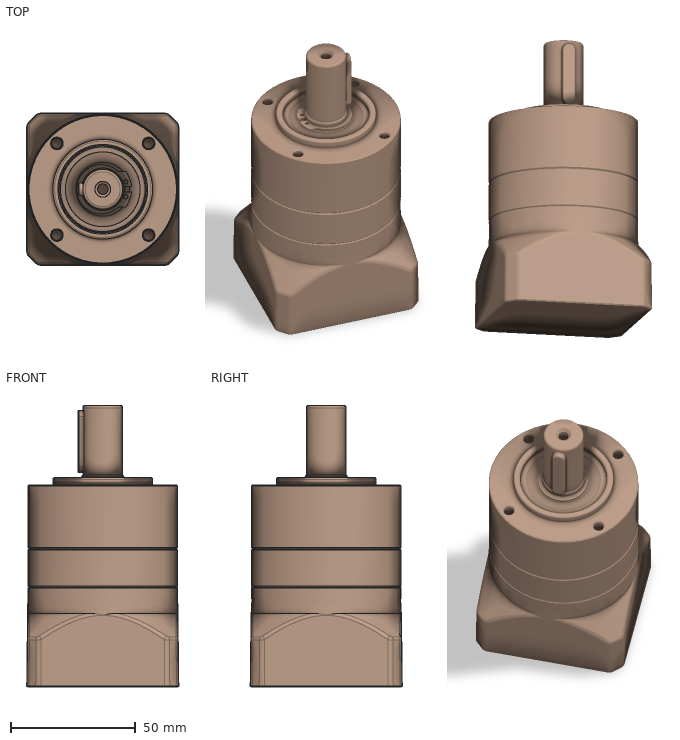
import cadquery as cq
import math

flange_top_z = 40.0
ring_gear_top_z = 55.5
housing_top_z = 81.0
pilot_top_z = 84.0
bearing_face_z = 81.8
shaft_top_z = 113.0

body_diameter = 60.0
body_chamfer = 0.5
housing_top_chamfer = 0.4
flange_top_chamfer = 0.3

flange_width = 61.0
flange_corner_cut = 4.5
flange_corner_radius = 3.0
flange_draft = 0.7
flange_base_chamfer = 0.5
collar_base_z = 29.6
collar_root_depth = 2.5
shoulder_fillet = 2.0
shoulder_rim_low_z = 15.0
shoulder_angle = 46.0

pilot_diameter = 40.0
pilot_fillet = 0.7
bearing_diameter = 35.0
bore_chamfer = 0.5
mount_circle_diameter = 52.0
mount_hole_count = 4
mount_first_angle = 45.0
mount_thread_diameter = 5.0
mount_core_diameter = 4.2
mount_hole_depth = 10.0
drill_tip_angle = 118.0

bearing_width = 10.0
bearing_bore = 17.0
inner_race_diameter = 21.6
outer_race_bore = 30.0
race_chamfer = 0.5
shield_recess = 0.3

shaft_diameter = 16.0
shaft_end_fillet = 1.0
shaft_step_z = 85.0
shaft_step_height = 0.7
centre_hole_diameter = 4.2
centre_hole_mouth = 6.3
centre_hole_depth = 12.5

key_width = 5.0
key_height = 5.0
key_length = 25.0
key_bottom_z = 86.0
key_outer_x = 10.0
key_chamfer = 0.4
keyway_chamfer = 0.5

clip_thickness = 1.0
clip_groove_diameter = 16.2
clip_outer_radius = 9.9
clip_offset = 0.6
lug_radius = 11.6
lug_half_width = 7.15
lug_gap = 2.2
plier_hole_diameter = 1.7
plier_hole_x = 9.2
plier_hole_y = 3.0

bearing_base_z = bearing_face_z - bearing_width


def cylinder(diameter, bottom_z, top_z):
    return cq.Workplane("XY").workplane(offset=bottom_z).circle(diameter / 2).extrude(top_z - bottom_z)


def ring(outer_diameter, inner_diameter, bottom_z, top_z):
    return cylinder(outer_diameter, bottom_z, top_z).cut(cylinder(inner_diameter, bottom_z, top_z))


def revolved(profile):
    """Turn a closed (radius, z) profile around the Z axis."""
    return cq.Workplane("XZ").polyline(profile).close().revolve(360, (0, 0, 0), (0, 1, 0))


def make_flange():
    """Square casting whose conical shoulder rises to a round collar."""
    draft_slope = math.tan(math.radians(flange_draft))
    collar_top_radius = body_diameter / 2
    collar_base_radius = collar_top_radius + (flange_top_z - collar_base_z) * draft_slope

    half = flange_width / 2
    cut_start = half - flange_corner_cut
    block = (
        cq.Workplane("XY")
        .polyline([
            (cut_start, -half),
            (half, -cut_start),
            (half, cut_start),
            (cut_start, half),
            (-cut_start, half),
            (-half, cut_start),
            (-half, -cut_start),
            (-cut_start, -half),
        ])
        .close()
        .extrude(flange_top_z, taper=flange_draft)
        .edges("not(#Z)")
        .fillet(flange_corner_radius)
    )

    cone_slope = math.tan(math.radians(shoulder_angle))
    cone_base_radius = collar_base_radius + collar_base_z / cone_slope
    cone_top_radius = cone_base_radius - flange_top_z / cone_slope
    cone = revolved([
        (0, 0),
        (cone_base_radius, 0),
        (cone_top_radius, flange_top_z),
        (0, flange_top_z),
    ])
    base = block.intersect(cone)

    rim = cq.selectors.BoxSelector(
        (-half, -half, shoulder_rim_low_z), (half, half, collar_base_z), boundingbox=False
    )
    base = base.edges(rim).fillet(shoulder_fillet)
    base = base.faces("<Z").edges().chamfer(flange_base_chamfer)

    collar_bottom_z = collar_base_z - collar_root_depth
    collar_bottom_radius = collar_base_radius + collar_root_depth * draft_slope
    collar = revolved([
        (0, collar_bottom_z),
        (collar_bottom_radius, collar_bottom_z),
        (collar_top_radius, flange_top_z - flange_top_chamfer),
        (collar_top_radius - flange_top_chamfer, flange_top_z),
        (0, flange_top_z),
    ])
    return base.union(collar)


def make_ring_gear():
    """Plain cylindrical stage with both rims broken."""
    return cylinder(body_diameter, flange_top_z, ring_gear_top_z).edges().chamfer(body_chamfer)


def make_housing():
    """Output housing with a centring pilot, bearing bore and tapped mounting holes."""
    body = cylinder(body_diameter, ring_gear_top_z, housing_top_z)
    body = body.edges("<Z").chamfer(body_chamfer)
    body = body.edges(">Z").chamfer(housing_top_chamfer)
    pilot = cylinder(pilot_diameter, bearing_base_z, pilot_top_z).edges(">Z").fillet(pilot_fillet)
    housing = body.union(pilot)

    bore_radius = bearing_diameter / 2
    bore = revolved([
        (0, bearing_base_z),
        (bore_radius, bearing_base_z),
        (bore_radius, pilot_top_z - bore_chamfer),
        (bore_radius + bore_chamfer, pilot_top_z),
        (0, pilot_top_z),
    ])
    housing = housing.cut(bore)

    core_radius = mount_core_diameter / 2
    mouth_radius = mount_thread_diameter / 2
    floor_z = housing_top_z - mount_hole_depth
    tip_depth = core_radius / math.tan(math.radians(drill_tip_angle / 2))
    hole = revolved([
        (0, floor_z - tip_depth),
        (core_radius, floor_z),
        (core_radius, housing_top_z - (mouth_radius - core_radius)),
        (mouth_radius, housing_top_z),
        (0, housing_top_z),
    ])
    for index in range(mount_hole_count):
        angle = mount_first_angle + index * 360 / mount_hole_count
        placed_hole = hole.translate((mount_circle_diameter / 2, 0, 0)).rotate((0, 0, 0), (0, 0, 1), angle)
        housing = housing.cut(placed_hole)
    return housing


def make_outer_race():
    race = ring(bearing_diameter, outer_race_bore, bearing_base_z, bearing_face_z)
    return race.faces(">Z").edges(cq.selectors.RadiusNthSelector(-1)).chamfer(race_chamfer)


def make_shield():
    """Closed ring between the races, set slightly below their faces."""
    return ring(outer_race_bore, inner_race_diameter, bearing_base_z, bearing_face_z - shield_recess)


def make_inner_race():
    race = ring(inner_race_diameter, bearing_bore, bearing_base_z, bearing_face_z)
    return race.faces(">Z").edges(cq.selectors.RadiusNthSelector(0)).chamfer(race_chamfer)


def make_key():
    """Round-ended parallel key on the -X side of the shaft."""
    key = (
        cq.Workplane("YZ")
        .workplane(offset=-key_outer_x)
        .center(0, key_bottom_z + key_length / 2)
        .slot2D(key_length, key_width, 90)
        .extrude(key_height)
    )
    return key.faces("<X").edges().chamfer(key_chamfer)


def make_shaft(key):
    """Stepped shaft with a clip groove, a tapped centre hole and a seat for the key."""
    shaft_radius = shaft_diameter / 2
    journal_radius = bearing_bore / 2
    groove_radius = clip_groove_diameter / 2
    groove_top_z = bearing_face_z + clip_thickness
    shaft = revolved([
        (0, bearing_base_z),
        (journal_radius, bearing_base_z),
        (journal_radius, bearing_face_z),
        (groove_radius, bearing_face_z),
        (groove_radius, groove_top_z),
        (journal_radius, groove_top_z),
        (journal_radius, shaft_step_z - shaft_step_height),
        (shaft_radius, shaft_step_z),
        (shaft_radius, shaft_top_z),
        (0, shaft_top_z),
    ])
    shaft = shaft.edges(">Z").fillet(shaft_end_fillet)

    hole_radius = centre_hole_diameter / 2
    mouth_radius = centre_hole_mouth / 2
    hole_floor_z = shaft_top_z - centre_hole_depth
    centre_hole = revolved([
        (0, hole_floor_z),
        (hole_radius, hole_floor_z),
        (hole_radius, shaft_top_z - (mouth_radius - hole_radius)),
        (mouth_radius, shaft_top_z),
        (0, shaft_top_z),
    ])
    shaft = shaft.cut(centre_hole).cut(key)

    keyway_mouth = cq.selectors.BoxSelector(
        (-shaft_radius - keyway_chamfer, -key_width, key_bottom_z - keyway_chamfer),
        (-shaft_radius + keyway_chamfer, key_width, key_bottom_z + key_length + keyway_chamfer),
    )
    return shaft.edges(keyway_mouth).chamfer(keyway_chamfer)


def make_clip():
    """External retaining ring: an eccentric band with two lugs facing +X."""
    clip_top_z = bearing_face_z + clip_thickness
    band = cylinder(2 * clip_outer_radius, bearing_face_z, clip_top_z).translate((-clip_offset, 0, 0))
    lug_bar = (
        cq.Workplane("XY")
        .workplane(offset=bearing_face_z)
        .center(lug_radius / 2, 0)
        .rect(lug_radius, 2 * lug_half_width)
        .extrude(clip_thickness)
    )
    lugs = cylinder(2 * lug_radius, bearing_face_z, clip_top_z).intersect(lug_bar)
    gap = (
        cq.Workplane("XY")
        .workplane(offset=bearing_face_z)
        .center(lug_radius / 2, 0)
        .rect(lug_radius, lug_gap)
        .extrude(clip_thickness)
    )
    plier_holes = (
        cq.Workplane("XY")
        .workplane(offset=bearing_face_z)
        .pushPoints([(plier_hole_x, plier_hole_y), (plier_hole_x, -plier_hole_y)])
        .circle(plier_hole_diameter / 2)
        .extrude(clip_thickness)
    )
    shaft_opening = cylinder(clip_groove_diameter, bearing_face_z, clip_top_z)
    return band.union(lugs).cut(shaft_opening).cut(gap).cut(plier_holes)


flange = make_flange()
ring_gear = make_ring_gear()
housing = make_housing()
outer_race = make_outer_race()
shield = make_shield()
inner_race = make_inner_race()
key = make_key()
shaft = make_shaft(key)
clip = make_clip()

result = cq.Compound.makeCompound([
    flange.val(),
    ring_gear.val(),
    housing.val(),
    outer_race.val(),
    shield.val(),
    inner_race.val(),
    shaft.val(),
    key.val(),
    clip.val(),
])